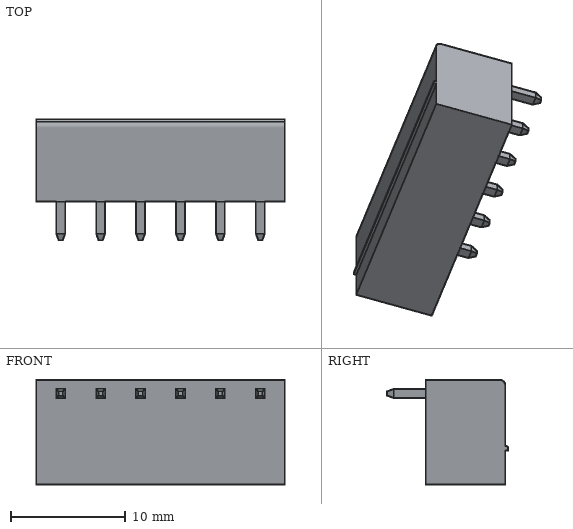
import cadquery as cq

HOUSING_WIDTH = 21.8
HOUSING_DEPTH = 7.0
HOUSING_HEIGHT = 9.2
TOP_EDGE_RADIUS = 0.5

RIDGE_PROJECTION = 0.24
RIDGE_HEIGHT = 0.4
RIDGE_BOTTOM_Z = 3.0
RIDGE_RADIUS = 0.2
RIDGE_EMBED = 0.2

PIN_COUNT = 6
PIN_PITCH = 3.5
PIN_SIZE = 0.8
PIN_LENGTH = 3.4
PIN_TIP_LENGTH = 0.6
PIN_TIP_SIZE = 0.36
PIN_DEPTH_BELOW_TOP = 1.2
PIN_CENTER_Z = HOUSING_HEIGHT - PIN_DEPTH_BELOW_TOP


def make_housing():
    """Solid block with its upper back edge rounded."""
    block = cq.Workplane("XY").box(
        HOUSING_WIDTH, HOUSING_DEPTH, HOUSING_HEIGHT, centered=(True, False, False)
    )
    return block.edges("|X and >Y and >Z").fillet(TOP_EDGE_RADIUS)


def make_ridge():
    """Ridge with a flat underside and a rounded upper outer edge."""
    ridge = cq.Workplane("XY").box(
        HOUSING_WIDTH, RIDGE_EMBED + RIDGE_PROJECTION, RIDGE_HEIGHT, centered=(True, False, False)
    )
    ridge = ridge.translate((0, HOUSING_DEPTH - RIDGE_EMBED, RIDGE_BOTTOM_Z))
    return ridge.edges("|X and >Y and >Z").fillet(RIDGE_RADIUS)


def make_pin(center_x):
    """Square pin pointing toward -Y, ending in a blunt pyramid."""
    shank_length = PIN_LENGTH - PIN_TIP_LENGTH
    pin_base = cq.Workplane("XZ", origin=(center_x, 0, PIN_CENTER_Z))
    shank = pin_base.rect(PIN_SIZE, PIN_SIZE).extrude(shank_length)
    tip = (
        pin_base.workplane(offset=shank_length)
        .rect(PIN_SIZE, PIN_SIZE)
        .workplane(offset=PIN_TIP_LENGTH)
        .rect(PIN_TIP_SIZE, PIN_TIP_SIZE)
        .loft(ruled=True)
    )
    return shank.union(tip)


result = make_housing().union(make_ridge())
for index in range(PIN_COUNT):
    pin_x = (index - (PIN_COUNT - 1) / 2) * PIN_PITCH
    result = result.union(make_pin(pin_x))